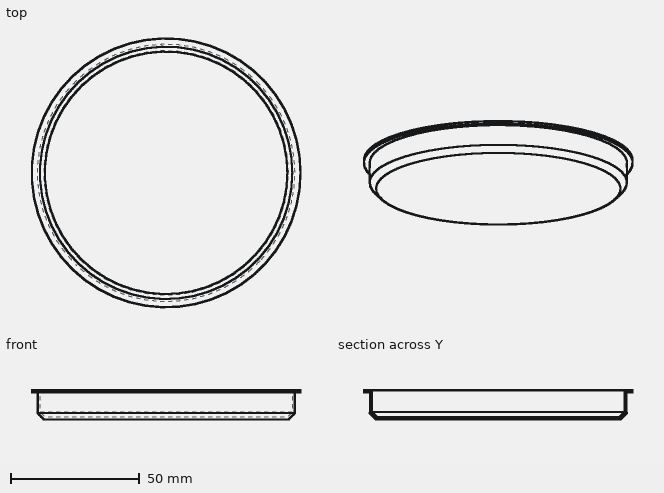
import cadquery as cq
import math

rim_diameter = 104.5
height = 11.5
rim_thickness = 1.0

outer_radius = 100.0 / 2
inner_radius = 98.0 / 2
wall = outer_radius - inner_radius

slope = 2.5
base_radius = outer_radius - slope

corner_shift = wall * math.tan(math.radians(45 / 2))
floor_radius = base_radius - corner_shift
inner_slope_top = slope + corner_shift

rim_underside = height - rim_thickness
half_section = [
    (0, 0),
    (base_radius, 0),
    (outer_radius, slope),
    (outer_radius, rim_underside),
    (rim_diameter / 2, rim_underside),
    (rim_diameter / 2, height),
    (inner_radius, height),
    (inner_radius, inner_slope_top),
    (floor_radius, wall),
    (0, wall),
]

result = cq.Workplane("XZ").polyline(half_section).close().revolve(360, (0, 0), (0, 1))